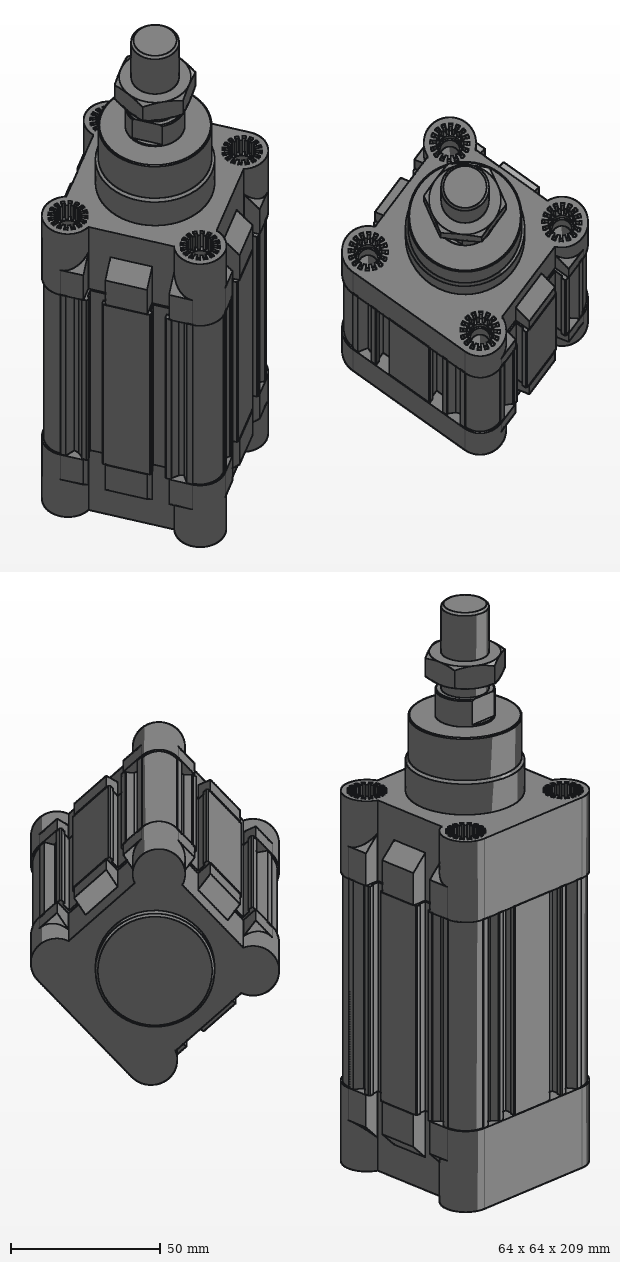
import cadquery as cq
import math

overall_height = 209.0
cap_bottom = 4.2
tube_top = 110.8
cap_top = 140.5
tube_bottom = cap_bottom + cap_top - tube_top
block_height = 12.0
guide_top = 151.7
neck_top = 168.2
rod_seat = cap_top
collar_top = 178.0
nut_bottom = 183.0
nut_height = 8.4

half_width = 32.0
bolt_offset = 23.2
post_radius = half_width - bolt_offset
web_half = 26.3
middle_block_half = 7.3
corner_block_inner = 15.0
block_ramp = half_width - web_half
guide_diameter = 40.0
guide_chamfer = 0.8
neck_diameter = 38.0
neck_chamfer = 0.5

tooth_count = 16
socket_core_radius = 4.5
socket_radius = 5.75
socket_depth = 6.7
rim_radius = 6.7
rim_step = 0.2
bore_diameter = 8.0
bore_depth = 10.0
drill_diameter = 6.7
drill_depth = 18.8
drill_tip_angle = 118.0

tube_half = 31.8
tube_post_radius = 8.2
slot_floor = 27.0
slot_lip_height = 1.9
slot_mouth_inner = 8.5
slot_mouth_outer = 13.5
slot_undercut = 0.6
slot_chamfer = 0.5
groove_inner = 15.7
groove_bend = 17.5
groove_root = 19.2
groove_outer = 21.3
groove_step = 0.6
groove_bend_depth = 2.5
groove_depth = 3.1

rod_diameter = 16.0
collar_diameter = 20.0
collar_flats = 17.1
flats_base = 0.6
rod_chamfer = 0.8
collar_chamfer = 0.5
nut_across_flats = 24.0

QUARTER_TURNS = (0, 90, 180, 270)
BLOCK_SIDES = (0, 90, 270)
CORNERS = [(x, y) for x in (-bolt_offset, bolt_offset) for y in (-bolt_offset, bolt_offset)]


def disc(diameter, bottom, top):
    return cq.Workplane("XY").workplane(offset=bottom).circle(diameter / 2).extrude(top - bottom)


def turned(shape, angle):
    return shape.rotate((0, 0, 0), (0, 0, 1), angle)


def cap_block(x_start, x_end):
    """Block on the -Y web of the upper cap, with a 45 degree ramp on top."""
    ramp_start = tube_top + block_height
    block_back = web_half - block_ramp
    return (
        cq.Workplane("YZ")
        .workplane(offset=x_start)
        .polyline([
            (-block_back, tube_top),
            (-half_width, tube_top),
            (-half_width, ramp_start),
            (-web_half, ramp_start + block_ramp),
            (-block_back, ramp_start + block_ramp),
        ])
        .close()
        .extrude(x_end - x_start)
    )


def end_cap():
    """Upper end cap without its guide and sockets."""
    height = cap_top - tube_top
    base = cq.Workplane("XY").workplane(offset=tube_top)
    cap = base.rect(2 * web_half, 2 * web_half).extrude(height)
    cap = cap.union(base.pushPoints(CORNERS).circle(post_radius).extrude(height))
    flat_side = base.center(0, half_width / 2).rect(2 * bolt_offset, half_width).extrude(height)
    cap = cap.union(flat_side)
    for angle in BLOCK_SIDES:
        for start, end in (
            (-bolt_offset, -corner_block_inner),
            (-middle_block_half, middle_block_half),
            (corner_block_inner, bolt_offset),
        ):
            cap = cap.union(turned(cap_block(start, end), angle))
    return cap


def slot_outline():
    """Outline of the undercut slot on the +X half of the -Y side."""
    lip = slot_lip_height - tube_half
    return [
        (slot_mouth_inner - slot_chamfer, -tube_half),
        (slot_mouth_outer + slot_chamfer, -tube_half),
        (slot_mouth_outer, slot_chamfer - tube_half),
        (slot_mouth_outer, lip),
        (slot_mouth_outer + slot_undercut, lip),
        (slot_mouth_outer + slot_undercut, -slot_floor),
        (slot_mouth_inner - slot_undercut, -slot_floor),
        (slot_mouth_inner - slot_undercut, lip),
        (slot_mouth_inner, lip),
        (slot_mouth_inner, slot_chamfer - tube_half),
    ]


def groove_outline():
    """Outline of the lopsided groove between that slot and the corner post."""
    return [
        (groove_inner, -half_width),
        (groove_inner, groove_step - tube_half),
        (groove_bend, groove_bend_depth - tube_half),
        (groove_root, groove_depth - tube_half),
        (groove_outer, -half_width),
    ]


def tube():
    height = tube_top - tube_bottom
    base = cq.Workplane("XY").workplane(offset=tube_bottom)
    profile = base.rect(2 * tube_half, 2 * bolt_offset).extrude(height)
    profile = profile.union(base.rect(2 * bolt_offset, 2 * tube_half).extrude(height))
    profile = profile.union(base.pushPoints(CORNERS).circle(tube_post_radius).extrude(height))
    for outline in (slot_outline(), groove_outline()):
        right = base.polyline(outline).close().extrude(height)
        for cutter in (right, right.mirror("YZ")):
            for angle in QUARTER_TURNS:
                profile = profile.cut(turned(cutter, angle))
    return profile


def bolt_socket():
    """Toothed socket with a sloping notched rim and a drilled centre, opening upwards at the origin."""
    tip = drill_diameter / 2 / math.tan(math.radians(drill_tip_angle / 2))
    drill = (
        cq.Workplane("XZ")
        .polyline([
            (0, 0),
            (bore_diameter / 2, 0),
            (bore_diameter / 2, -bore_depth),
            (drill_diameter / 2, -bore_depth),
            (drill_diameter / 2, -drill_depth),
            (0, -drill_depth - tip),
        ])
        .close()
        .revolve(360, (0, 0), (0, 1))
    )
    core = cq.Workplane("XY").circle(socket_core_radius).extrude(-socket_depth)
    gap_angle = 180 / tooth_count
    gap = (
        cq.Workplane("XZ")
        .polyline([
            (drill_diameter / 2, 0),
            (rim_radius, 0),
            (rim_radius, socket_radius - rim_radius - rim_step),
            (socket_radius, -rim_step),
            (socket_radius, -socket_depth),
            (drill_diameter / 2, -socket_depth),
        ])
        .close()
        .revolve(gap_angle, (0, 0), (0, 1))
    )
    socket = drill.union(core)
    for i in range(tooth_count):
        socket = socket.union(turned(gap, (2 * i + 0.5) * gap_angle))
    return socket


def housing_body():
    upper_cap = end_cap()
    middle = (tube_bottom + tube_top) / 2
    lower_cap = upper_cap.mirror("XY", (0, 0, middle))
    body = tube().union(upper_cap).union(lower_cap)
    lower_guide = disc(guide_diameter, 0, cap_bottom).faces("<Z").chamfer(guide_chamfer)
    shoulder = (guide_diameter - neck_diameter) / 2
    upper_guide = disc(guide_diameter, cap_top, guide_top + shoulder).faces(">Z").chamfer(shoulder)
    neck = disc(neck_diameter, cap_top, neck_top).faces(">Z").chamfer(neck_chamfer)
    body = body.union(lower_guide).union(upper_guide).union(neck)
    socket = bolt_socket()
    for x, y in CORNERS:
        body = body.cut(socket.translate((x, y, cap_top)))
    return body.cut(disc(collar_diameter, rod_seat, neck_top))


def piston_rod():
    collar = disc(collar_diameter, rod_seat, collar_top).faces(">Z").chamfer(collar_chamfer)
    flats_bottom = neck_top + flats_base
    flats = (
        cq.Workplane("XY")
        .workplane(offset=flats_bottom)
        .rect(2 * collar_diameter, 2 * collar_diameter)
        .rect(2 * collar_diameter, collar_flats)
        .extrude(collar_top - flats_bottom)
    )
    stem = disc(rod_diameter, collar_top, overall_height).faces(">Z").chamfer(rod_chamfer)
    return collar.cut(flats).union(stem)


def lock_nut():
    """Hexagon nut with flats facing -X and +X and turned-down corners."""
    corner_diameter = nut_across_flats / math.cos(math.pi / 6)
    hexagon = (
        cq.Workplane("XY")
        .workplane(offset=nut_bottom)
        .polygon(6, corner_diameter)
        .extrude(nut_height)
    )
    hexagon = turned(hexagon, 30)
    corner_cut = (corner_diameter - nut_across_flats) / 2
    turned_blank = disc(corner_diameter, nut_bottom, nut_bottom + nut_height)
    turned_blank = turned_blank.faces("<Z or >Z").chamfer(corner_cut / 2, corner_cut)
    bore = disc(rod_diameter, nut_bottom, nut_bottom + nut_height)
    return hexagon.intersect(turned_blank).cut(bore)


housing = housing_body()
rod = piston_rod()
nut = lock_nut()

result = cq.Compound.makeCompound([body.solids().val() for body in (housing, rod, nut)])